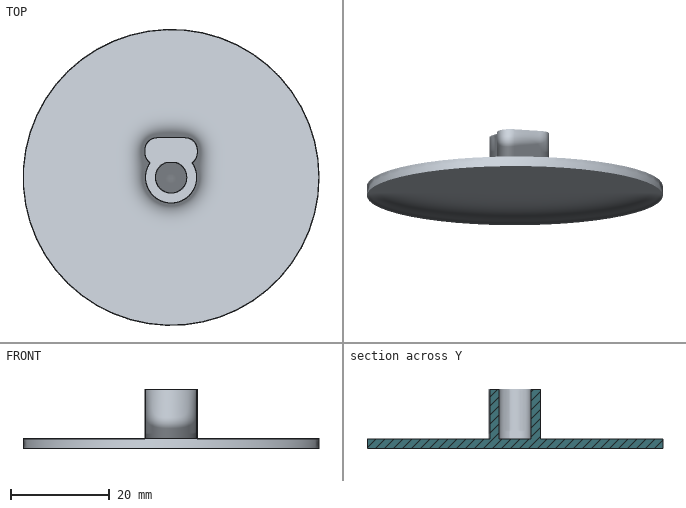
import cadquery as cq

disc_diameter = 60.0
disc_thickness = 2.0
total_height = 12.0

hub_diameter = 10.4
hub_height = total_height - disc_thickness

block_width = 10.6
block_back = 8.05
block_front = 2.5
block_corner_radius = 2.45
block_depth = block_back - block_front

hole_diameter = 6.35
hole_flat_distance = 3.0


def make_disc():
    return cq.Workplane("XY").circle(disc_diameter / 2).extrude(disc_thickness)


def make_hub():
    hub_plane = cq.Workplane("XY").workplane(offset=disc_thickness)
    cylinder = hub_plane.circle(hub_diameter / 2).extrude(hub_height)
    block = (
        hub_plane.center(0, (block_back + block_front) / 2)
        .rect(block_width, block_depth)
        .extrude(hub_height)
        .edges("|Z")
        .fillet(block_corner_radius)
    )
    return cylinder.union(block)


def make_shaft_hole():
    hole_plane = cq.Workplane("XY").workplane(offset=disc_thickness)
    bore = hole_plane.circle(hole_diameter / 2).extrude(hub_height)
    flat_limit = (
        hole_plane.center(0, hole_flat_distance - hole_diameter / 2)
        .rect(hole_diameter, hole_diameter)
        .extrude(hub_height)
    )
    return bore.intersect(flat_limit)


result = make_disc().union(make_hub().cut(make_shaft_hole()))